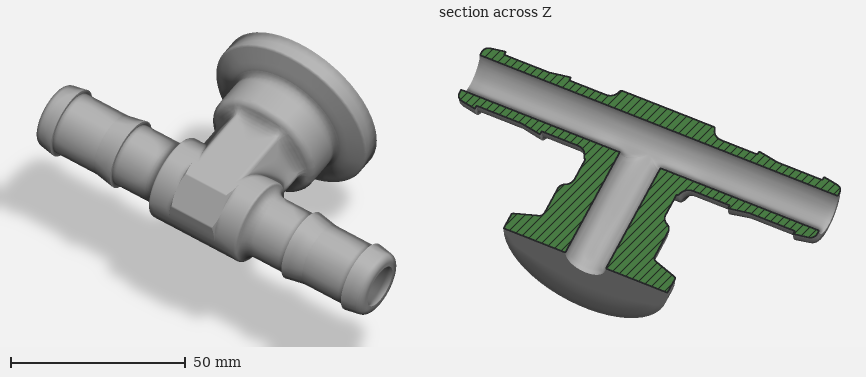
import cadquery as cq
import math

ORIGIN = (0, 0, 0)
X_AXIS = (1, 0, 0)
Y_AXIS = (0, 1, 0)
SELECT_MARGIN = 0.1

run_length = 113.03
overall_depth = 56.39
body_radius = 25.4 / 2
bore_diameter = 12.7
run_end = run_length / 2
flange_face_y = overall_depth - body_radius

stem_radius = 19.05 / 2
stem_blend_start_x = 15.03
stem_blend_radius = body_radius - stem_radius
body_edge_radius = 0.7
barb_length = 6.35
barb_angle = 10
barb_radius = stem_radius + barb_length * math.tan(math.radians(barb_angle))
barb_pitch = 20.55
tip_round_radius = 2.2

flange_radius = 51.82 / 2
flange_rim_length = 5.7
flange_back_angle = 19
flange_edge_radius = 0.8
flange_root_radius = 1.6
collar_radius = 34.92 / 2
collar_length = 21.2
collar_edge_radius = 2.38
collar_end_y = flange_face_y - collar_length

hex_sides = 6
hex_corner_diameter = 2 * body_radius / math.cos(math.pi / hex_sides)
hex_edge_radius = 1.6
neck_blend_radius = 3.0

pad_base_half_width = 7.8
pad_top_half_width = 6.95
octagon_half_angle = math.pi / 8
octagon_corner_radius = body_radius / math.cos(octagon_half_angle)
pad_edge_radius = 0.8


def make_run_half():
    """Half of the run, from the centre plane to the +X hose tip."""
    blend_end_x = stem_blend_start_x + stem_blend_radius
    blend_offset = stem_blend_radius * math.sin(math.radians(45))
    outer_shoulder_x = run_end - barb_length
    inner_shoulder_x = outer_shoulder_x - barb_pitch
    profile = (
        cq.Workplane("XY")
        .lineTo(0, body_radius)
        .lineTo(stem_blend_start_x, body_radius)
        .threePointArc(
            (blend_end_x - blend_offset, body_radius - blend_offset),
            (blend_end_x, stem_radius),
        )
    )
    for shoulder_x in (inner_shoulder_x, outer_shoulder_x):
        profile = (
            profile.lineTo(shoulder_x, stem_radius)
            .lineTo(shoulder_x, barb_radius)
            .lineTo(shoulder_x + barb_length, stem_radius)
        )
    half = profile.lineTo(run_end, 0).close().revolve(360, ORIGIN, X_AXIS)
    half = half.edges(cq.NearestToPointSelector((run_end, 0, 0))).fillet(tip_round_radius)
    return half.edges(cq.NearestToPointSelector((stem_blend_start_x, 0, 0))).fillet(body_edge_radius)


def make_run():
    half = make_run_half()
    return half.union(half.mirror("YZ"))


def make_flange():
    """Flange disc with a conical back, running into the collar."""
    rim_y = flange_face_y - flange_rim_length
    cone_drop = (flange_radius - collar_radius) * math.tan(math.radians(flange_back_angle))
    root_y = rim_y - cone_drop
    collar_mid_y = flange_face_y - collar_length / 2
    flange = (
        cq.Workplane("XY")
        .moveTo(0, flange_face_y)
        .lineTo(flange_radius, flange_face_y)
        .lineTo(flange_radius, rim_y)
        .lineTo(collar_radius, root_y)
        .lineTo(collar_radius, collar_mid_y)
        .lineTo(0, collar_mid_y)
        .close()
        .revolve(360, ORIGIN, Y_AXIS)
    )
    flange = flange.edges(cq.NearestToPointSelector((0, rim_y, 0))).fillet(flange_edge_radius)
    return flange.edges(cq.NearestToPointSelector((0, root_y, 0))).fillet(flange_root_radius)


def make_neck():
    """Round-edged collar and hexagonal neck, flats at top and bottom, blended into each other."""
    collar = (
        cq.Workplane("XZ", origin=(0, collar_end_y, 0))
        .circle(collar_radius)
        .extrude(-collar_length / 2)
        .faces("<Y")
        .edges()
        .fillet(collar_edge_radius)
    )
    hexagon = (
        cq.Workplane("XZ")
        .polygon(hex_sides, hex_corner_diameter)
        .extrude(-collar_end_y)
        .edges("|Y")
        .fillet(hex_edge_radius)
    )
    neck_reach = hex_corner_diameter / 2
    root_edges = cq.selectors.BoxSelector(
        (-neck_reach, collar_end_y - SELECT_MARGIN, -neck_reach),
        (neck_reach, collar_end_y + SELECT_MARGIN, neck_reach),
        boundingbox=True,
    )
    return collar.union(hexagon).edges(root_edges).fillet(neck_blend_radius)


def make_pad():
    """Tapered band around the body, cut to the octagon's top, sloping and front faces."""
    corner_offset = body_radius * math.tan(octagon_half_angle)
    octagon = (
        cq.Workplane("YZ", origin=(-pad_base_half_width, 0, 0))
        .lineTo(0, body_radius)
        .lineTo(-corner_offset, body_radius)
        .lineTo(-body_radius, corner_offset)
        .lineTo(-body_radius, 0)
        .close()
        .extrude(2 * pad_base_half_width)
    )
    for corner in ((0, -corner_offset, body_radius), (0, -body_radius, corner_offset)):
        octagon = octagon.edges(cq.NearestToPointSelector(corner)).fillet(pad_edge_radius)
    band = (
        cq.Workplane("XY")
        .moveTo(-pad_base_half_width, 0)
        .lineTo(-pad_base_half_width, body_radius)
        .lineTo(-pad_top_half_width, octagon_corner_radius)
        .lineTo(pad_top_half_width, octagon_corner_radius)
        .lineTo(pad_base_half_width, body_radius)
        .lineTo(pad_base_half_width, 0)
        .close()
        .revolve(360, ORIGIN, X_AXIS)
    )
    return octagon.intersect(band)


def make_bores():
    """Through bore along the run, and the branch bore from it to the flange face."""
    bore_radius = bore_diameter / 2
    run_bore = cq.Workplane("YZ", origin=(-run_end, 0, 0)).circle(bore_radius).extrude(run_length)
    branch_bore = cq.Workplane("XZ").circle(bore_radius).extrude(-flange_face_y)
    return run_bore.union(branch_bore)


branch = make_neck().union(make_flange())
result = make_run().union(branch).union(make_pad()).cut(make_bores())